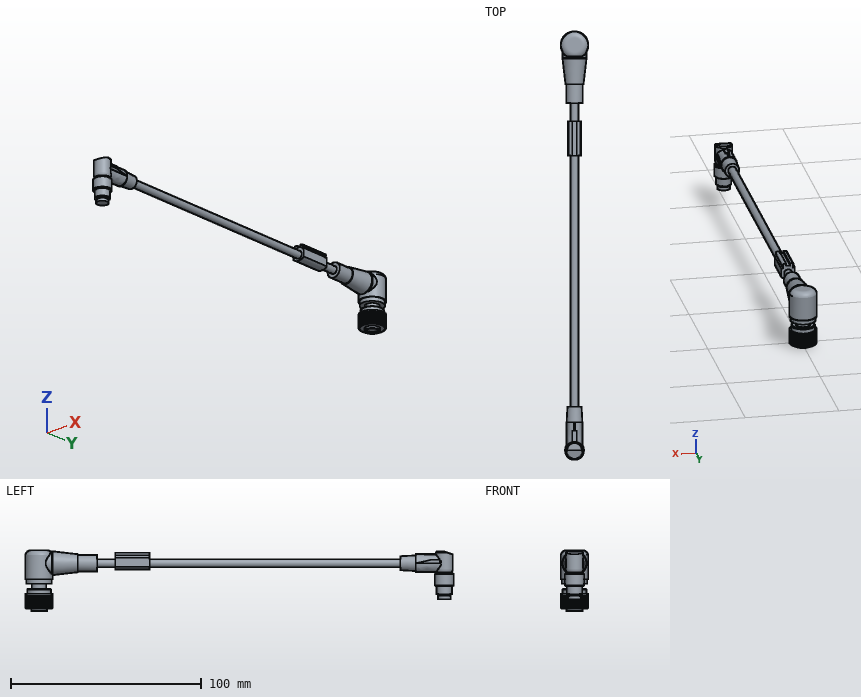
import cadquery as cq
import math


overall_length = 224.53
socket_radius = 7.26
socket_top = 6.9
socket_height = 32.0
socket_bottom = socket_top - socket_height

top_disc_radius = 3.9
top_round_drop = 2.55
body_bottom = -8.5
body_step_radius = 6.7
body_step_bottom = -10.8
socket_neck_radius = 3.9

collar_radius = 6.3
collar_top = -13.3
collar_bevel = 0.5
nut_top = -16.0
nut_bottom = -23.8
knurl_top = -17.4
knurl_bottom_bevel = 0.5
knurl_count = 40
knurl_depth = 0.5
nut_groove_depth = 0.35
nut_groove_height = 0.4
insert_radius = 4.2
insert_bore_radius = 3.4
insert_bore_depth = 1.0

boot_cone_start_radius = 6.4
boot_cone_start = 6.6
boot_cone_end_radius = 4.8
boot_cone_end = 20.4
boot_sleeve_radius = 4.35
boot_sleeve_end = 30.4
boot_groove_depth = 0.25
boot_groove_width = 0.5

cable_radius = 2.2

clip_start = 39.8
clip_length = 18.1
clip_half_width = 3.65
clip_bottom = -3.3
clip_lower_edge = -1.9
clip_shoulder = 2.95
clip_neck_half_width = 2.5
clip_rail_half_width = 3.1
clip_rail_bottom = 4.3
clip_rail_top = 5.5
clip_rail_round = 1.1
clip_slot_half_width = 1.05

plug_nut_radius = 5.0
plug_axis = -(overall_length - socket_radius - plug_nut_radius)
plug_neck_radius = 3.9
plug_nut_top = -5.3
plug_nut_bottom = -12.0
plug_nut_bevel = 0.5
plug_barrel_radius = 4.1
plug_barrel_bottom = -16.2
plug_tip_radius = 3.4
plug_groove_radius = 3.0
plug_groove_height = 0.9
plug_bottom = -18.9

head_radius = 4.55
head_bottom = -4.7
head_top = 6.15
head_top_bevel = 0.7
head_taper_height = 1.3
head_taper_inset = 0.35
head_slope_drop = 1.5

plug_boot_end = -189.3
plug_grip_start = -197.4
plug_boot_end_radius = 3.75
plug_boot_root_radius = 4.2
plug_grip_half_width = 4.3
plug_grip_half_height = 4.65
grip_ridge_narrow_width = 0.8
grip_ridge_wide_width = 2.1
grip_ridge_step = -202.1
grip_ridge_top = 4.95
grip_recess_depth = 0.35
grip_recess_setback = 1.9
grip_recess_height = 2.9


def cylinder(radius, bottom, top, axis_y=0.0):
    return cq.Workplane("XY", origin=(0, axis_y, bottom)).circle(radius).extrude(top - bottom)


def box_between(x_half, y_range, z_range):
    size_y = y_range[1] - y_range[0]
    size_z = z_range[1] - z_range[0]
    return (
        cq.Workplane("XY", origin=(0, (y_range[0] + y_range[1]) / 2, z_range[0]))
        .rect(2 * x_half, size_y)
        .extrude(size_z)
    )


def revolve_about_cable(outline):
    """Revolve (radius, y) points about the cable axis."""
    return cq.Workplane("XY").polyline(outline).close().revolve(360, (0, 0, 0), (0, 1, 0))


def make_socket_body():
    run = socket_radius - top_disc_radius
    arc_radius = (run**2 + top_round_drop**2) / (2 * top_round_drop)
    half_angle = math.asin(run / arc_radius) / 2
    arc_mid = (
        top_disc_radius + arc_radius * math.sin(half_angle),
        socket_top - arc_radius * (1 - math.cos(half_angle)),
    )
    return (
        cq.Workplane("XZ")
        .moveTo(0, socket_top)
        .lineTo(top_disc_radius, socket_top)
        .threePointArc(arc_mid, (socket_radius, socket_top - top_round_drop))
        .lineTo(socket_radius, body_bottom)
        .lineTo(body_step_radius, body_bottom)
        .lineTo(body_step_radius, body_step_bottom)
        .lineTo(0, body_step_bottom)
        .close()
        .revolve(360, (0, 0, 0), (0, 1, 0))
    )


def make_knurl():
    points = []
    for index in range(2 * knurl_count):
        radius = socket_radius - knurl_depth * (index % 2)
        angle = math.pi * index / knurl_count
        points.append((radius * math.cos(angle), radius * math.sin(angle)))
    knurl = (
        cq.Workplane("XY", origin=(0, 0, nut_bottom))
        .polyline(points)
        .close()
        .extrude(knurl_top - nut_bottom)
    )
    envelope = cylinder(socket_radius, nut_bottom, knurl_top).faces("<Z").chamfer(knurl_bottom_bevel)
    return knurl.intersect(envelope)


def make_socket_coupling():
    neck = cylinder(socket_neck_radius, nut_top, body_step_bottom)
    collar = cylinder(collar_radius, nut_top, collar_top).faces(">Z").chamfer(collar_bevel)
    groove_floor = cylinder(socket_radius - nut_groove_depth, knurl_top, nut_top)
    rim = cylinder(socket_radius, knurl_top + nut_groove_height, nut_top)
    insert = cylinder(insert_radius, socket_bottom, nut_bottom)
    bore = cylinder(insert_bore_radius, socket_bottom, socket_bottom + insert_bore_depth)
    coupling = neck.union(collar).union(groove_floor).union(rim)
    return coupling.union(make_knurl()).union(insert.cut(bore))


def make_socket_boot():
    boot = revolve_about_cable(
        [
            (0, 0),
            (boot_cone_start_radius, 0),
            (boot_cone_start_radius, -boot_cone_start),
            (boot_cone_end_radius, -boot_cone_end),
            (boot_sleeve_radius, -boot_cone_end),
            (boot_sleeve_radius, -boot_sleeve_end),
            (0, -boot_sleeve_end),
        ]
    )
    groove_end = -boot_cone_start - boot_groove_width
    groove_radius = boot_cone_start_radius - boot_groove_depth
    groove = revolve_about_cable(
        [
            (groove_radius, -boot_cone_start),
            (socket_radius, -boot_cone_start),
            (socket_radius, groove_end),
            (groove_radius, groove_end),
        ]
    )
    return boot.cut(groove)


def make_cable():
    return cq.Workplane("XZ").circle(cable_radius).extrude(-plug_axis)


def make_clip():
    right_side = [
        (clip_half_width, clip_lower_edge),
        (clip_half_width, clip_shoulder),
        (clip_neck_half_width, clip_shoulder),
        (clip_neck_half_width, clip_rail_bottom),
        (clip_rail_half_width, clip_rail_bottom),
        (clip_rail_half_width, clip_rail_top),
    ]
    left_side = [(-x, z) for x, z in reversed(right_side)]
    clip = (
        cq.Workplane("XZ", origin=(0, -clip_start, 0))
        .polyline(right_side + left_side)
        .threePointArc((0, clip_bottom), right_side[0])
        .close()
        .extrude(clip_length)
        .faces(">Z")
        .edges("|Y")
        .fillet(clip_rail_round)
    )
    slot = box_between(
        clip_slot_half_width,
        (-clip_start - clip_length, -clip_start),
        (clip_rail_bottom, clip_rail_top),
    )
    return clip.cut(slot)


def make_plug_coupling():
    neck = cylinder(plug_neck_radius, plug_nut_top, head_bottom, plug_axis)
    nut = cylinder(plug_nut_radius, plug_nut_bottom, plug_nut_top, plug_axis)
    nut = nut.faces("<Z or >Z").chamfer(plug_nut_bevel)
    barrel = cylinder(plug_barrel_radius, plug_barrel_bottom, plug_nut_bottom, plug_axis)
    groove_bottom = plug_barrel_bottom - plug_groove_height
    groove_floor = cylinder(plug_groove_radius, groove_bottom, plug_barrel_bottom, plug_axis)
    tip = cylinder(plug_tip_radius, plug_bottom, groove_bottom, plug_axis)
    return neck.union(nut).union(barrel).union(groove_floor).union(tip)


def make_plug_head():
    head = cylinder(head_radius, head_bottom, head_top, plug_axis)
    head = head.faces(">Z").chamfer(head_top_bevel)
    head = head.faces("<Z").edges().chamfer(head_taper_height, head_taper_inset)
    slope_end = plug_axis - head_radius
    slope = (
        cq.Workplane("YZ", origin=(-head_radius, 0, 0))
        .polyline([(plug_axis, head_top), (slope_end, head_top), (slope_end, head_top - head_slope_drop)])
        .close()
        .extrude(2 * head_radius)
    )
    return head.cut(slope)


def make_plug_boot():
    boot = revolve_about_cable(
        [
            (0, plug_boot_end),
            (plug_boot_end_radius, plug_boot_end),
            (plug_boot_root_radius, plug_grip_start),
            (0, plug_grip_start),
        ]
    )
    grip = (
        cq.Workplane("XZ", origin=(0, plug_grip_start, 0))
        .ellipse(plug_grip_half_width, plug_grip_half_height)
        .extrude(plug_grip_start - plug_axis)
    )
    narrow_ridge = box_between(
        grip_ridge_narrow_width / 2, (plug_axis, plug_grip_start), (0, grip_ridge_top)
    )
    wide_ridge = box_between(grip_ridge_wide_width / 2, (plug_axis, grip_ridge_step), (0, grip_ridge_top))
    boot = boot.union(grip).union(narrow_ridge).union(wide_ridge)
    recess_floor = plug_grip_half_width - grip_recess_depth
    recess_end = plug_axis + grip_recess_setback
    for side in (-1, 1):
        recess = (
            cq.Workplane("YZ", origin=(side * recess_floor, 0, 0))
            .polyline(
                [(plug_grip_start, 0), (recess_end, 0), (recess_end, grip_recess_height)]
            )
            .close()
            .extrude(side * plug_grip_half_width)
        )
        boot = boot.cut(recess)
    return boot


result = (
    make_socket_body()
    .union(make_socket_coupling())
    .union(make_socket_boot())
    .union(make_cable())
    .union(make_clip())
    .union(make_plug_boot())
    .union(make_plug_head())
    .union(make_plug_coupling())
)